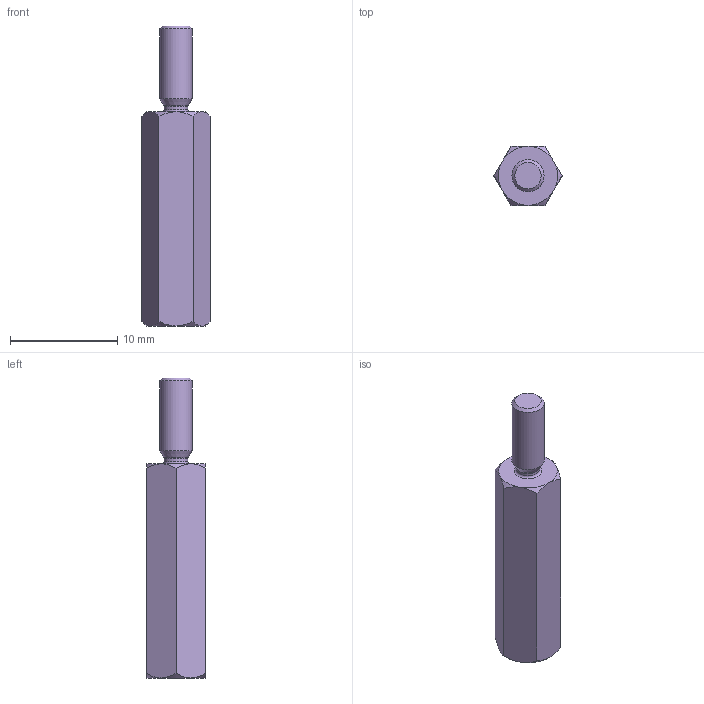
import cadquery as cq
import math

across_flats = 5.5
body_length = 20.0
across_corners = across_flats / math.cos(math.radians(30))
corner_chamfer = (across_corners - across_flats) / 2

stud_diameter = 3.0
stud_length = 8.0
stud_tip_diameter = 2.46
tip_chamfer = (stud_diameter - stud_tip_diameter) / 2

neck_diameter = 2.2
undercut_length = 1.2
undercut_angle = 30.0
neck_radius = 0.2


def make_body():
    """Hexagonal prism with its corners turned off at both ends."""
    prism = cq.Workplane("XY").polygon(6, across_corners).extrude(body_length)
    turned_blank = cq.Workplane("XY").circle(across_corners / 2).extrude(body_length)
    turned_blank = turned_blank.edges("%CIRCLE").chamfer(corner_chamfer)
    return prism.intersect(turned_blank)


def make_stud():
    """Stud turned about Z, with a chamfered tip and a rounded undercut at its foot."""
    stud_r = stud_diameter / 2
    neck_r = neck_diameter / 2
    foot_z = body_length
    tip_z = body_length + stud_length
    cone_top_z = foot_z + undercut_length

    slope = math.radians(undercut_angle)
    cone_foot_z = cone_top_z - (stud_r - neck_r) / math.tan(slope)

    blend_start_z = cone_foot_z - neck_radius * math.tan(slope / 2)
    blend_center_r = neck_r + neck_radius

    def blend_point(angle):
        return (
            blend_center_r - neck_radius * math.cos(angle),
            blend_start_z + neck_radius * math.sin(angle),
        )

    fillet_center_z = foot_z + neck_radius
    diagonal = neck_radius * math.sqrt(0.5)
    fillet_middle = (blend_center_r - diagonal, fillet_center_z - diagonal)

    profile = (
        cq.Workplane("XZ")
        .moveTo(0, foot_z)
        .lineTo(blend_center_r, foot_z)
        .threePointArc(fillet_middle, (neck_r, fillet_center_z))
        .lineTo(neck_r, blend_start_z)
        .threePointArc(blend_point(slope / 2), blend_point(slope))
        .lineTo(stud_r, cone_top_z)
        .lineTo(stud_r, tip_z - tip_chamfer)
        .lineTo(stud_tip_diameter / 2, tip_z)
        .lineTo(0, tip_z)
        .close()
    )
    return profile.revolve(360, (0, 0, 0), (0, 1, 0))


result = make_body().union(make_stud())